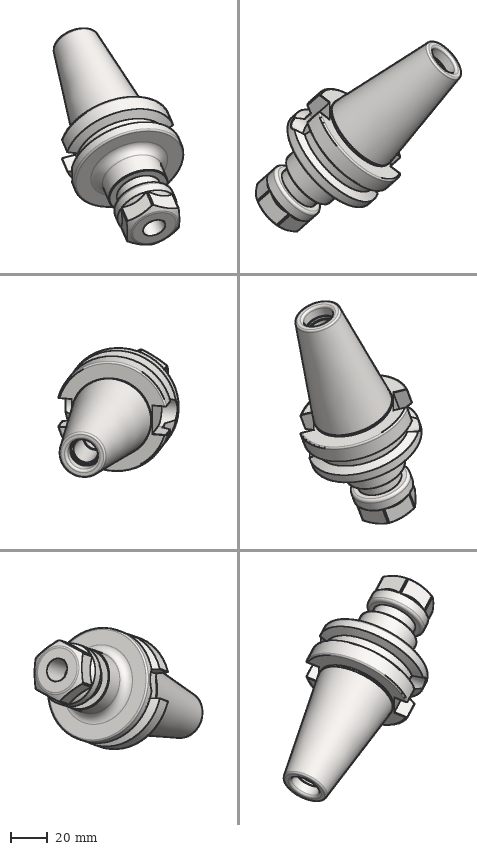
import cadquery as cq
import math


taper_end_dia = 26.0
taper_end_radius = 1.1
taper_ratio = 7 / 24
taper_x = 65.9
taper_dia = taper_end_dia + (taper_x - taper_end_radius) * taper_ratio
relief_x = 66.3
relief_dia = 44.1

flange_x = 67.4
flange_dia = 63.0
flange_edge_radius = 1.0
front_rim_end = 77.0
groove_floor_start = 79.6
groove_floor_end = 84.3
groove_dia = 53.0
back_rim_start = 86.6
flange_end = 92.3

nose_dia = 34.0
nose_fillet = 5.0
nose_end = 108.8
nose_chamfer = 0.4
neck_dia = 25.0

slot_width = 16.2
slot_floor = 22.5
slot_end = 88.8
slot_edge_chamfer = 0.3

mouth_dia = 17.0
mouth_radius = 1.5
mouth_depth = 6.9
step_dia = 15.8
step_depth = 8.5
thread_dia = 13.9
thread_depth = 29.9
through_dia = 12.8

nut_x = 116.5
nut_end = 135.8
nut_dia = nose_dia
nut_back_radius = 1.8
hex_x = 123.6
hex_flats = 29.9
tip_cone_x = 133.5
tip_cone_angle = math.radians(60)
tip_edge_chamfer = 0.5

arc_inset = 1 - math.sqrt(0.5)


def turn(outline):
    """Revolve a closed outline of (x, radius) about the X axis."""
    return outline.close().revolve(360, (0, 0, 0), (1, 0, 0))


def holder_blank():
    """Solid turned outside of the holder."""
    taper_r = taper_end_dia / 2
    taper_inset = taper_end_radius * arc_inset
    flange_r = flange_dia / 2
    flange_inset = flange_edge_radius * arc_inset
    nose_r = nose_dia / 2
    nose_inset = nose_fillet * arc_inset
    outline = (
        cq.Workplane("XZ")
        .lineTo(0, taper_r - taper_end_radius)
        .threePointArc((taper_inset, taper_r - taper_inset), (taper_end_radius, taper_r))
        .lineTo(taper_x, taper_dia / 2)
        .lineTo(relief_x, relief_dia / 2)
        .lineTo(flange_x, relief_dia / 2)
        .lineTo(flange_x, flange_r - flange_edge_radius)
        .threePointArc(
            (flange_x + flange_inset, flange_r - flange_inset),
            (flange_x + flange_edge_radius, flange_r),
        )
        .lineTo(front_rim_end, flange_r)
        .lineTo(groove_floor_start, groove_dia / 2)
        .lineTo(groove_floor_end, groove_dia / 2)
        .lineTo(back_rim_start, flange_r)
        .lineTo(flange_end - flange_edge_radius, flange_r)
        .threePointArc(
            (flange_end - flange_inset, flange_r - flange_inset),
            (flange_end, flange_r - flange_edge_radius),
        )
        .lineTo(flange_end, nose_r + nose_fillet)
        .threePointArc(
            (flange_end + nose_inset, nose_r + nose_inset),
            (flange_end + nose_fillet, nose_r),
        )
        .lineTo(nose_end - nose_chamfer, nose_r)
        .lineTo(nose_end, nose_r - nose_chamfer)
        .lineTo(nose_end, neck_dia / 2)
        .lineTo(nut_x, neck_dia / 2)
        .lineTo(nut_x, 0)
    )
    return turn(outline)


def drive_slot(side):
    """Cutter for the round-ended slot on the +Y (side = 1) or -Y (side = -1) side."""
    half_width = slot_width / 2
    return (
        cq.Workplane("XZ", origin=(0, side * slot_floor, 0))
        .moveTo(relief_x, -half_width)
        .lineTo(slot_end - half_width, -half_width)
        .threePointArc((slot_end, 0), (slot_end - half_width, half_width))
        .lineTo(relief_x, half_width)
        .close()
        .extrude(-side * flange_dia / 2)
    )


def rim_edges(side, start, end):
    """Selector for the outer slot edges on one side whose centres lie between two X positions."""
    margin = slot_edge_chamfer / 2
    low = (start - margin, side * (slot_floor + margin), -slot_width / 2 - margin)
    high = (end + margin, side * flange_dia / 2, slot_width / 2 + margin)
    return cq.selectors.BoxSelector(low, high)


def holder_bore():
    """Cutter for the stepped through bore with its rounded mouth."""
    mouth_r = mouth_dia / 2
    mouth_inset = mouth_radius * arc_inset
    outline = (
        cq.Workplane("XZ")
        .lineTo(0, mouth_r + mouth_radius)
        .threePointArc((mouth_inset, mouth_r + mouth_inset), (mouth_radius, mouth_r))
        .lineTo(mouth_depth, mouth_r)
        .lineTo(mouth_depth, step_dia / 2)
        .lineTo(step_depth, step_dia / 2)
        .lineTo(step_depth, thread_dia / 2)
        .lineTo(thread_depth, thread_dia / 2)
        .lineTo(thread_depth, through_dia / 2)
        .lineTo(nut_x, through_dia / 2)
        .lineTo(nut_x, 0)
    )
    return turn(outline)


def make_holder():
    body = holder_blank()
    for side in (1, -1):
        body = body.cut(drive_slot(side))
        body = body.edges(rim_edges(side, flange_x, front_rim_end)).chamfer(slot_edge_chamfer)
        body = body.edges(rim_edges(side, back_rim_start, slot_end)).chamfer(slot_edge_chamfer)
    return body.cut(holder_bore())


def nut_blank():
    """Round nut with a rounded back edge and a conical tip."""
    nut_r = nut_dia / 2
    tip_r = nut_r - (nut_end - tip_cone_x) * math.tan(tip_cone_angle)
    outline = cq.Workplane("XZ").polyline(
        [(nut_x, 0), (nut_x, nut_r), (tip_cone_x, nut_r), (nut_end, tip_r), (nut_end, 0)]
    )
    blank = turn(outline)
    blank = blank.faces("<X").edges().fillet(nut_back_radius)
    return blank.faces(">X").edges().chamfer(tip_edge_chamfer)


def hex_envelope():
    """Round collar that runs out in a 45 degree cone over a hexagon with two flats facing Y."""
    nut_r = nut_dia / 2
    collar = turn(
        cq.Workplane("XZ").polyline([(nut_x, 0), (nut_x, nut_r), (hex_x, nut_r), (hex_x + nut_r, 0)])
    )
    hexagon = (
        cq.Workplane("YZ", origin=(hex_x, 0, 0))
        .polygon(6, hex_flats, circumscribed=True)
        .extrude(nut_end - hex_x)
    )
    return collar.union(hexagon)


def make_nut():
    bore = cq.Workplane("YZ", origin=(nut_x, 0, 0)).circle(through_dia / 2).extrude(nut_end - nut_x)
    return nut_blank().intersect(hex_envelope()).cut(bore)


holder = make_holder()
nut = make_nut()
result = cq.Compound.makeCompound([holder.solids().val(), nut.solids().val()])